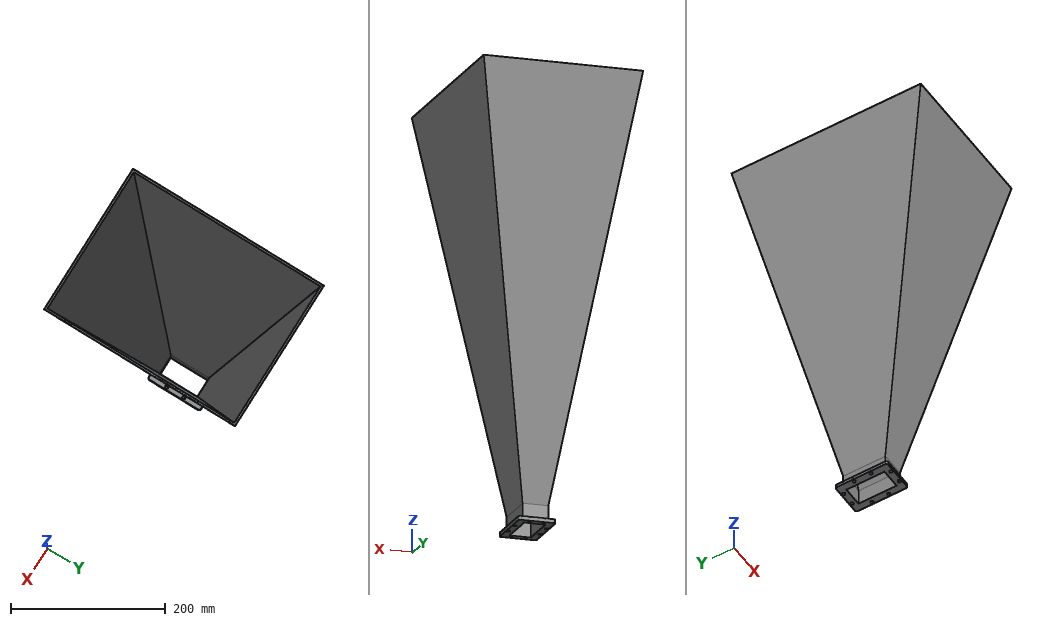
import cadquery as cq

total_height = 589.0
mouth_x = 217.5
mouth_y = 290.5

wall = 3.25
throat_x = 35.5
throat_y = 65.0
throat_length = 20.0

flange_x = 50.0
flange_y = 79.5
flange_thickness = 5.5
corner_radius = 3.0
bolt_diameter = 4.0
bolt_spacing_x = 20.0
bolt_spacing_y = 26.0

horn_base = flange_thickness + throat_length
horn_length = total_height - horn_base


def box_on(z, size_x, size_y, height):
    """Centred rectangular block standing on height z."""
    return cq.Workplane("XY").workplane(offset=z).rect(size_x, size_y).extrude(height)


def pyramid(inset):
    """Flared horn body, with every cross-section drawn in by inset."""
    return (
        cq.Workplane("XY")
        .workplane(offset=horn_base)
        .rect(throat_x - 2 * inset, throat_y - 2 * inset)
        .workplane(offset=horn_length)
        .rect(mouth_x - 2 * inset, mouth_y - 2 * inset)
        .loft(ruled=True)
    )


def bolt_positions():
    """Two holes along each side, centred between throat and flange edge."""
    row_x = (throat_x + flange_x) / 4
    row_y = (throat_y + flange_y) / 4
    positions = []
    for side in (-1, 1):
        for end in (-1, 1):
            positions.append((side * row_x, end * bolt_spacing_y / 2))
            positions.append((end * bolt_spacing_x / 2, side * row_y))
    return positions


def make_flange():
    plate = box_on(0, flange_x, flange_y, flange_thickness)
    plate = plate.edges("|Z").fillet(corner_radius)
    return plate.faces(">Z").workplane().pushPoints(bolt_positions()).hole(bolt_diameter)


throat = box_on(flange_thickness, throat_x, throat_y, throat_length)
bore = box_on(0, throat_x - 2 * wall, throat_y - 2 * wall, horn_base)
body = make_flange().union(throat).union(pyramid(0))
result = body.cut(bore).cut(pyramid(wall))